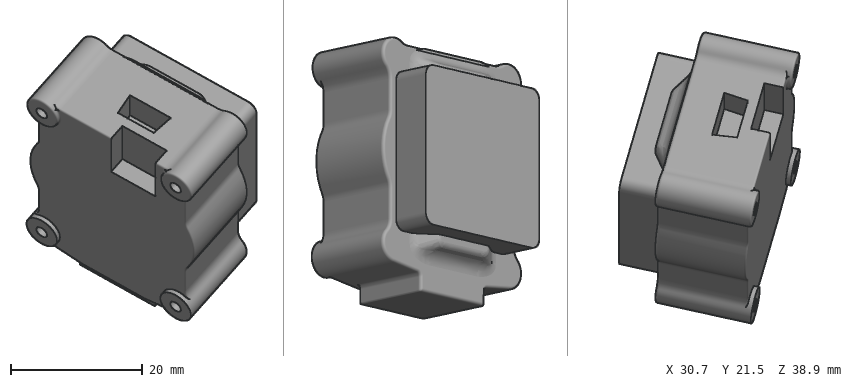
import math

import cadquery as cq


boss_x = 12.5
boss_z = 14.8
boss_radius = 2.855
boss_front = -0.8
boss_round = 0.3
hole_diameter = 2.0
hole_depth = 10.0

wall_x = 13.75
top_z = 16.85
bottom_z = -18.52
bottom_flat_half = 5.9
lobe_radius = 10.0
outline_blend = 2.5
housing_depth = 14.35
front_round = 0.3
back_round = 0.5

shroud_half_width = 7.07
shroud_bottom_z = -21.245
shroud_front = 1.53
shroud_corner = 0.25
shroud_blend = 0.65

motor_size = 25.0
motor_corner = 1.65
motor_back = 20.66

pedestal_height = 2.45
pedestal_base_half_x = 8.7
pedestal_base_half_z = 15.45
pedestal_top_half_x = 5.35
pedestal_top_half_z = 14.1
pedestal_corner = 1.5
pedestal_top_round = 1.0
pedestal_blend = 2.5

notch_left = -0.1
notch_right = 8.15
notch_floor_z = 8.62
notch_depth = 3.0

port_center_x = 1.22
port_front = 4.67
port_back = 8.52
port_front_width = 6.7
port_back_width = 7.6
port_depth = 5.0

overlap = 1.0
tolerance = 0.02


def plane_at(y):
    """Sketch plane at depth y, with local x along X and local y along Z."""
    return cq.Workplane("XZ", origin=(0, y, 0))


def extrude_back(sketch, length):
    """Extrude a sketch on an XZ plane toward +Y."""
    return sketch.extrude(-length)


def boss_centers(side):
    """Left and right boss centers of the upper (side=1) or lower (side=-1) pair."""
    return [(-boss_x, side * boss_z), (boss_x, side * boss_z)]


def slant_tangent_point():
    """Point on the lower right boss where the slanted bottom edge touches it."""
    dx = bottom_flat_half - boss_x
    dz = bottom_z + boss_z
    angle = math.atan2(dz, dx) + math.acos(boss_radius / math.hypot(dx, dz))
    return (boss_x + boss_radius * math.cos(angle), -boss_z + boss_radius * math.sin(angle))


def make_outline_block():
    """Sharp-edged housing: straight walls, slanted bottom, four boss columns and two side lobes."""
    right_side = [
        (wall_x, top_z),
        (wall_x, -boss_z),
        slant_tangent_point(),
        (bottom_flat_half, bottom_z),
    ]
    left_side = [(-x, z) for x, z in reversed(right_side)]
    block = extrude_back(plane_at(0).polyline(right_side + left_side).close(), housing_depth)

    columns = plane_at(0).pushPoints(boss_centers(1) + boss_centers(-1)).circle(boss_radius)
    block = block.union(extrude_back(columns, housing_depth))

    lobe_center_x = boss_x + boss_radius - lobe_radius
    for x in (-lobe_center_x, lobe_center_x):
        block = block.union(extrude_back(plane_at(0).center(x, 0).circle(lobe_radius), housing_depth))

    inner_corners = cq.selectors.BoxSelector(
        (-wall_x - tolerance, 0, -boss_z),
        (wall_x + tolerance, housing_depth, top_z + tolerance),
    )
    return block.edges("|Y").edges(inner_corners).fillet(outline_blend)


def add_shroud(block):
    """Join the connector shroud to the bottom wall with blended inner corners."""
    shroud = extrude_back(
        plane_at(shroud_front).center(0, shroud_bottom_z / 2).rect(2 * shroud_half_width, -shroud_bottom_z),
        housing_depth - shroud_front,
    )
    shroud = shroud.edges("|Y and <Z").fillet(shroud_corner)
    joined = block.union(shroud)
    for x in (-shroud_half_width, shroud_half_width):
        inner_corner = cq.selectors.BoxSelector(
            (x - tolerance, shroud_front, bottom_z),
            (x + tolerance, housing_depth, -boss_z - boss_radius),
        )
        joined = joined.edges("|Y").edges(inner_corner).fillet(shroud_blend)
    return joined


def make_boss(center, y_from, y_to):
    return extrude_back(plane_at(y_from).center(*center).circle(boss_radius), y_to - y_from)


def make_foot_rounding():
    """Concave ring that blends a boss into the front face, centered on the Y axis."""
    inner = boss_radius - boss_round
    outer = boss_radius + boss_round
    arc_middle = (outer - boss_round * math.sqrt(0.5), -boss_round + boss_round * math.sqrt(0.5))
    profile = (
        cq.Workplane("XY")
        .moveTo(inner, boss_round)
        .lineTo(outer, boss_round)
        .lineTo(outer, 0)
        .threePointArc(arc_middle, (boss_radius, -boss_round))
        .lineTo(inner, -boss_round)
        .close()
    )
    return profile.revolve(360, (0, 0, 0), (0, 1, 0))


def add_boss_fronts(body, outline_block):
    """Raise the four bosses in front of the housing; the upper pair is rounded at rim and foot."""
    root = housing_depth / 2
    for center in boss_centers(-1):
        body = body.union(make_boss(center, boss_front, root))

    front_outline = outline_block.faces("<Y").wires().toPending().offset2D(-front_round)
    front_flat = front_outline.extrude(-root, combine=False).translate((0, -overlap, 0))
    for center in boss_centers(1):
        boss = make_boss(center, boss_front, root).faces("<Y").edges().fillet(boss_round)
        foot = make_foot_rounding().translate((center[0], 0, center[1]))
        body = body.union(boss).union(foot.intersect(front_flat))
    return body


def make_pedestal(outline_block):
    """Tapered pedestal with a rounded rim and a wide foot that stops at the housing outline."""
    plate_size = 4 * wall_x
    pedestal = (
        plane_at(housing_depth)
        .rect(2 * pedestal_base_half_x, 2 * pedestal_base_half_z)
        .workplane(offset=-pedestal_height)
        .rect(2 * pedestal_top_half_x, 2 * pedestal_top_half_z)
        .loft(ruled=True)
    )
    pedestal = pedestal.edges("not(|X or |Z)").fillet(pedestal_corner)
    pedestal = pedestal.faces(">Y").edges().fillet(pedestal_top_round)
    plate = extrude_back(plane_at(housing_depth - overlap).rect(plate_size, plate_size), overlap)
    joined = plate.union(pedestal)
    foot_edges = cq.selectors.BoxSelector(
        (-wall_x, housing_depth - tolerance, -top_z),
        (wall_x, housing_depth + tolerance, top_z),
    )
    joined = joined.edges(foot_edges).fillet(pedestal_blend)
    column = outline_block.translate((0, pedestal_height, 0))
    above_plate = extrude_back(plane_at(housing_depth).rect(plate_size, plate_size), pedestal_height)
    return joined.intersect(column).intersect(above_plate)


def make_motor():
    start = housing_depth - overlap
    can = extrude_back(plane_at(start).rect(motor_size, motor_size), motor_back - start)
    return can.edges("|Y").fillet(motor_corner)


def make_notch():
    width = notch_right - notch_left
    height = top_z + overlap - notch_floor_z
    cutter = cq.Workplane("XY").box(width, notch_depth + overlap, height, centered=False)
    return cutter.translate((notch_left, -overlap, notch_floor_z))


def make_port():
    outline = [
        (port_center_x - port_front_width / 2, port_front),
        (port_center_x + port_front_width / 2, port_front),
        (port_center_x + port_back_width / 2, port_back),
        (port_center_x - port_back_width / 2, port_back),
    ]
    floor_z = top_z - port_depth
    return cq.Workplane("XY", origin=(0, 0, floor_z)).polyline(outline).close().extrude(port_depth + overlap)


def make_holes():
    holes = plane_at(boss_front).pushPoints(boss_centers(1) + boss_centers(-1)).circle(hole_diameter / 2)
    return extrude_back(holes, hole_depth)


outline_block = make_outline_block()
housing = outline_block.faces("<Y").edges().fillet(front_round)
housing = add_shroud(housing)
housing = housing.faces(">Y").edges().fillet(back_round)
housing = add_boss_fronts(housing, outline_block)
body = housing.union(make_pedestal(outline_block)).union(make_motor())
result = body.cut(make_notch()).cut(make_port()).cut(make_holes())